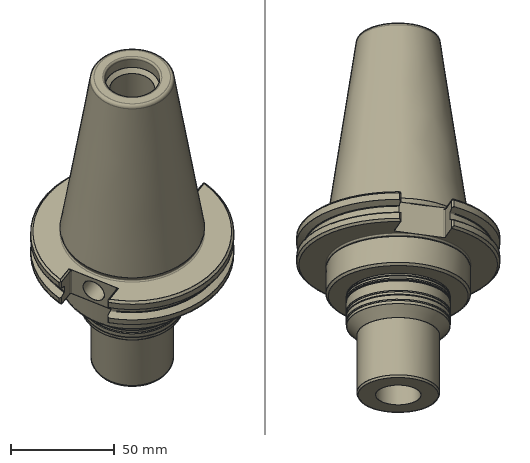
import cadquery as cq
import math

TOTAL_LENGTH = 190.2

TAPER_RATE = 7 / 24
GAUGE_RADIUS = 69.8 / 2
GAUGE_Z = 88.6
TOP_ROUND = 1.9
RELIEF_RADIUS = 34.2
RELIEF_Z = 86.5
NECK_ROUND = 0.67

FLANGE_RADIUS = 49.0
FLANGE_TOP_Z = 85.8
FLANGE_BOTTOM_Z = 69.8
FLANGE_CHAMFER = 1.1
GROOVE_Z = 77.6
GROOVE_DEPTH = 3.6
GROOVE_MOUTH_WIDTH = 7.0
GROOVE_ROOT_ROUND = 0.4
GROOVE_WALL_ANGLE = math.radians(25)

COLLAR_RADIUS = GAUGE_RADIUS
COLLAR_NECK_RADIUS = 34.5
COLLAR_NECK_Z = 68.7
COLLAR_TOP_Z = 68.0
COLLAR_BOTTOM_Z = 53.0
COLLAR_CHAMFER = 1.1

RING_RADIUS = 50.5 / 2
RING_ROOT_RADIUS = 50.0 / 2
RING_SLOPE = 0.5
RINGS = [(52.0, 50.2), (49.3, 43.5), (41.7, 38.8)]
SHOULDER_TOP_Z = 36.9

NOSE_RADIUS = 40 / 2
NOSE_CHAMFER_WIDTH = 0.5
NOSE_CHAMFER_HEIGHT = 1.1

SLOT_WIDTH = 25.7
SLOT_EDGE_CHAMFER = 0.85
SLOT_CORNER_RADIUS = 0.5
FRONT_SLOT_FLOOR = 37.5
BACK_SLOT_FLOOR = 35.2

DRILL_DIAMETER = 11.8
DRILL_DEPTH = 11.5
DRILL_POINT_ANGLE = math.radians(118)

BORE_RADIUS = 21.9 / 2
COUNTERBORE_RADIUS = 26.5 / 2
COUNTERBORE_FLOOR_Z = 183.7
COUNTERBORE_CONE_HEIGHT = 1.9
MOUTH_ROUND = 1.05


def round_step(body, edge_radius, height, fillet):
    """Fillet the circular edge of the given radius at the given height."""
    tolerance = 0.02
    edge = body.edges("%CIRCLE").filter(
        lambda e: abs(e.radius() - edge_radius) < tolerance and abs(e.Center().z - height) < tolerance
    )
    return edge.fillet(fillet)


def turned_body():
    """Solid of revolution with every outer step of the holder."""
    taper_top_radius = GAUGE_RADIUS - (TOTAL_LENGTH - GAUGE_Z) * TAPER_RATE / 2
    mouth_half = GROOVE_MOUTH_WIDTH / 2
    root_half = mouth_half - GROOVE_DEPTH * math.tan(GROOVE_WALL_ANGLE)
    groove_radius = FLANGE_RADIUS - GROOVE_DEPTH
    rim_radius = FLANGE_RADIUS - FLANGE_CHAMFER
    shoulder_bottom_z = SHOULDER_TOP_Z - (RING_ROOT_RADIUS - NOSE_RADIUS)

    outline = [
        (0, TOTAL_LENGTH),
        (taper_top_radius, TOTAL_LENGTH),
        (GAUGE_RADIUS, GAUGE_Z),
        (RELIEF_RADIUS, RELIEF_Z),
        (RELIEF_RADIUS, FLANGE_TOP_Z),
        (rim_radius, FLANGE_TOP_Z),
        (FLANGE_RADIUS, FLANGE_TOP_Z - FLANGE_CHAMFER),
        (FLANGE_RADIUS, GROOVE_Z + mouth_half),
        (groove_radius, GROOVE_Z + root_half),
        (groove_radius, GROOVE_Z - root_half),
        (FLANGE_RADIUS, GROOVE_Z - mouth_half),
        (FLANGE_RADIUS, FLANGE_BOTTOM_Z + FLANGE_CHAMFER),
        (rim_radius, FLANGE_BOTTOM_Z),
        (COLLAR_NECK_RADIUS, FLANGE_BOTTOM_Z),
        (COLLAR_NECK_RADIUS, COLLAR_NECK_Z),
        (COLLAR_RADIUS, COLLAR_TOP_Z),
        (COLLAR_RADIUS, COLLAR_BOTTOM_Z + COLLAR_CHAMFER),
        (COLLAR_RADIUS - COLLAR_CHAMFER, COLLAR_BOTTOM_Z),
        (RING_ROOT_RADIUS, COLLAR_BOTTOM_Z),
    ]
    for ring_top, ring_bottom in RINGS:
        outline += [
            (RING_ROOT_RADIUS, ring_top + RING_SLOPE / 2),
            (RING_RADIUS, ring_top - RING_SLOPE / 2),
            (RING_RADIUS, ring_bottom + RING_SLOPE / 2),
            (RING_ROOT_RADIUS, ring_bottom - RING_SLOPE / 2),
        ]
    outline += [
        (RING_ROOT_RADIUS, SHOULDER_TOP_Z),
        (NOSE_RADIUS, shoulder_bottom_z),
        (NOSE_RADIUS, NOSE_CHAMFER_HEIGHT),
        (NOSE_RADIUS - NOSE_CHAMFER_WIDTH, 0),
        (0, 0),
    ]
    body = cq.Workplane("XZ").polyline(outline).close().revolve(360, (0, 0, 0), (0, 1, 0))
    body = round_step(body, taper_top_radius, TOTAL_LENGTH, TOP_ROUND)
    body = round_step(body, RELIEF_RADIUS, FLANGE_TOP_Z, NECK_ROUND)
    body = round_step(body, COLLAR_NECK_RADIUS, FLANGE_BOTTOM_Z, NECK_ROUND)
    for root_z in (GROOVE_Z - root_half, GROOVE_Z + root_half):
        body = round_step(body, groove_radius, root_z, GROOVE_ROOT_ROUND)
    return body


def bore():
    """Through bore with a counterbore and a conical seat."""
    outline = [
        (0, 0),
        (BORE_RADIUS, 0),
        (BORE_RADIUS, COUNTERBORE_FLOOR_Z - COUNTERBORE_CONE_HEIGHT),
        (COUNTERBORE_RADIUS, COUNTERBORE_FLOOR_Z),
        (COUNTERBORE_RADIUS, TOTAL_LENGTH),
        (0, TOTAL_LENGTH),
    ]
    return cq.Workplane("XZ").polyline(outline).close().revolve(360, (0, 0, 0), (0, 1, 0))


def drive_slot(side, floor_distance):
    """Cutter for one drive slot; side is -1 for the slot at -Y and +1 for the slot at +Y."""
    height = FLANGE_TOP_Z - FLANGE_BOTTOM_Z
    length = FLANGE_RADIUS - floor_distance
    slot = (
        cq.Workplane("XY", origin=(0, side * (floor_distance + length / 2), FLANGE_BOTTOM_Z))
        .box(SLOT_WIDTH, length, height, centered=(True, True, False))
    )
    floor_side = "<Y" if side > 0 else ">Y"
    return slot.faces(floor_side).edges("|Z").fillet(SLOT_CORNER_RADIUS)


def slot_top_bevel(side, floor_distance):
    """Cutter for the 45 degree bevels along the upper edges of one drive slot."""
    half_width = SLOT_WIDTH / 2
    length = FLANGE_RADIUS - floor_distance
    start = floor_distance if side < 0 else -FLANGE_RADIUS
    profile = [
        (-half_width - SLOT_EDGE_CHAMFER, FLANGE_TOP_Z),
        (half_width + SLOT_EDGE_CHAMFER, FLANGE_TOP_Z),
        (half_width, FLANGE_TOP_Z - SLOT_EDGE_CHAMFER),
        (-half_width, FLANGE_TOP_Z - SLOT_EDGE_CHAMFER),
    ]
    return cq.Workplane("XZ").workplane(offset=start).polyline(profile).close().extrude(length)


def slot_mouth_bevel(side):
    """Cutter for the 45 degree bevels along the outer edges of one drive slot."""
    half_width = SLOT_WIDTH / 2
    outer_half = half_width + SLOT_EDGE_CHAMFER
    edge_y = math.sqrt(FLANGE_RADIUS**2 - outer_half**2)
    profile = [
        (-outer_half, side * FLANGE_RADIUS),
        (-outer_half, side * edge_y),
        (-half_width, side * (edge_y - SLOT_EDGE_CHAMFER)),
        (half_width, side * (edge_y - SLOT_EDGE_CHAMFER)),
        (outer_half, side * edge_y),
        (outer_half, side * FLANGE_RADIUS),
    ]
    height = FLANGE_TOP_Z - FLANGE_BOTTOM_Z
    return cq.Workplane("XY", origin=(0, 0, FLANGE_BOTTOM_Z)).polyline(profile).close().extrude(height)


def drilled_hole():
    """Blind radial hole with a drill-point end, entering through the floor of the -Y slot."""
    radius = DRILL_DIAMETER / 2
    bottom_y = -FRONT_SLOT_FLOOR + DRILL_DEPTH
    tip_y = bottom_y + radius / math.tan(DRILL_POINT_ANGLE / 2)
    profile = [
        (0, -FRONT_SLOT_FLOOR),
        (radius, -FRONT_SLOT_FLOOR),
        (radius, bottom_y),
        (0, tip_y),
    ]
    half_section = cq.Workplane("XY", origin=(0, 0, GROOVE_Z)).polyline(profile).close()
    return half_section.revolve(360, (0, 0, 0), (0, 1, 0))


result = turned_body().cut(bore())
result = round_step(result, COUNTERBORE_RADIUS, TOTAL_LENGTH, MOUTH_ROUND)
for slot_side, slot_floor in ((-1, FRONT_SLOT_FLOOR), (1, BACK_SLOT_FLOOR)):
    result = result.cut(drive_slot(slot_side, slot_floor))
    result = result.cut(slot_top_bevel(slot_side, slot_floor))
    result = result.cut(slot_mouth_bevel(slot_side))
result = result.cut(drilled_hole())